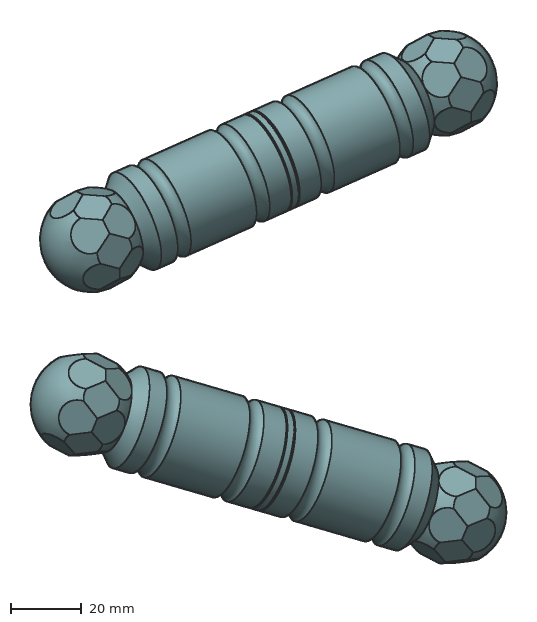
import cadquery as cq

total_length = 145.8
body_diameter = 30.0
body_radius = body_diameter / 2

ball_radius = body_radius
ball_centre = total_length / 2 - ball_radius
facet_distance = 14.0
facet_tilt = 20.0
facets_per_row = 6
facet_pitch = 360.0 / facets_per_row

spacer_thickness = 2.0
handle_start = spacer_thickness / 2

seam_chamfer = 0.5
groove_width = 4.4
groove_depth = 1.2
groove_centres = (10.6, 36.6)
neck_start = 44.2
neck_height = 5.8


def make_shaft():
    """Round shaft with a chamfered inner edge, two arc grooves and a conical neck."""
    outline = (
        cq.Workplane("XY")
        .moveTo(0, handle_start)
        .lineTo(body_radius - seam_chamfer, handle_start)
        .lineTo(body_radius, handle_start + seam_chamfer)
    )
    for centre in groove_centres:
        groove_bottom = (body_radius - groove_depth, centre)
        groove_end = (body_radius, centre + groove_width / 2)
        outline = outline.lineTo(body_radius, centre - groove_width / 2)
        outline = outline.threePointArc(groove_bottom, groove_end)
    outline = (
        outline.lineTo(body_radius, neck_start)
        .lineTo(body_radius - neck_height, neck_start + neck_height)
        .lineTo(0, neck_start + neck_height)
        .close()
    )
    return outline.revolve(360, (0, 0, 0), (0, 1, 0))


def cut_facet(ball, tilt, turn):
    """Slice one flat off the ball; tilt leans it toward +Y, turn spins it about Y."""
    cutter = (
        cq.Workplane("XY", origin=(0, 0, facet_distance))
        .rect(body_diameter, body_diameter)
        .extrude(ball_radius)
        .rotate((0, 0, 0), (1, 0, 0), -tilt)
        .rotate((0, 0, 0), (0, 1, 0), turn)
    )
    return ball.cut(cutter)


def make_ball():
    """Sphere with a row of flats round its equator and a staggered row on each side of it."""
    ball = cq.Workplane("XY").sphere(ball_radius)
    for index in range(facets_per_row):
        turn = index * facet_pitch
        ball = cut_facet(ball, 0, turn)
        for tilt in (-facet_tilt, facet_tilt):
            ball = cut_facet(ball, tilt, turn + facet_pitch / 2)
    return ball.translate((0, ball_centre, 0))


def make_handle(turn):
    """Shaft and ball in one piece on the +Y side, turned about Z to its own end of the baton."""
    return make_shaft().union(make_ball()).rotate((0, 0, 0), (0, 0, 1), turn)


def make_spacer():
    """Plain disc held between the inner ends of the two handles."""
    return (
        cq.Workplane("XZ", origin=(0, spacer_thickness / 2, 0))
        .circle(body_radius)
        .extrude(spacer_thickness)
    )


handles = [make_handle(turn).solids().val() for turn in (0, 180)]
spacer = make_spacer()

result = cq.Compound.makeCompound([*handles, spacer.val()])